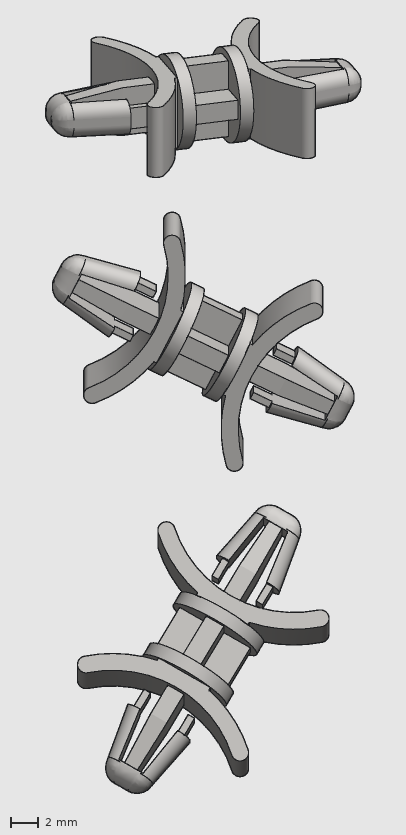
import cadquery as cq
import math


overall_length = 23.85
half_length = overall_length / 2

core_width = 5.99
core_web = 1.5
flange_dia = 7.1
flange_inner_y = 1.7
flange_outer_y = 2.72

joint_overlap = 0.25

wing_half_span = 7.15
wing_height = 5.53
wing_inner_radius = 9.15
wing_outer_radius = 10.42
wing_bottom_y = 3.95
foot_width = 4.4

head_height = 2.67
barb_y = 6.45
barb_half_width = 2.65
nose_base_y = 10.83
nose_base_half_width = 1.84
arm_edge_radius = 1.0
nose_radius = head_height / 2
nose_steps = 7
nose_last_angle = math.radians(89.0)
slot_top_y = 10.47
slot_top_half_width = 1.03
slot_bottom_half_width = 1.6

tab_inner_x = slot_bottom_half_width
tab_outer_x = 2.15
tab_end_y = 4.91
tab_height = 1.65

post_width = 1.38
post_height = 3.77
post_tip_width = 1.1
post_tip_height = 2.53


def box_between(width, y_start, y_end, height):
    """Box centred on X and Z, spanning the given Y range."""
    return cq.Workplane("XY").box(width, y_end - y_start, height).translate((0, (y_start + y_end) / 2, 0))


def plan_prism(outline, height):
    """Prism of a closed XY outline, centred on Z."""
    return cq.Workplane("XY").polyline(outline).close().extrude(height / 2, both=True)


def make_core():
    """Cross of two flat bars running through to the flanges' inner faces."""
    length = 2 * flange_inner_y
    horizontal = cq.Workplane("XY").box(core_width, length, core_web)
    vertical = cq.Workplane("XY").box(core_web, length, core_width)
    return horizontal.union(vertical)


def make_flange():
    """Round flange at the end of the core."""
    thickness = flange_outer_y - flange_inner_y
    disc = cq.Workplane("XZ").circle(flange_dia / 2).extrude(-thickness)
    return disc.translate((0, flange_inner_y, 0))


def make_wing():
    """Arc-shaped wing with round tips, and its foot on the flange."""
    centre_y = wing_bottom_y + wing_inner_radius
    tip_radius = (wing_outer_radius - wing_inner_radius) / 2
    middle_radius = wing_inner_radius + tip_radius
    tip_angle = math.asin((wing_half_span - tip_radius) / middle_radius)

    def arc_point(radius, angle, past_end=0.0):
        """Point at an angle from the wing's middle, moved along the tangent by past_end."""
        x = radius * math.sin(angle) + past_end * math.cos(angle)
        y = centre_y - radius * math.cos(angle) + past_end * math.sin(angle)
        return (x, y)

    wing = (
        cq.Workplane("XY")
        .moveTo(*arc_point(wing_inner_radius, -tip_angle))
        .threePointArc(arc_point(wing_inner_radius, 0), arc_point(wing_inner_radius, tip_angle))
        .threePointArc(
            arc_point(middle_radius, tip_angle, tip_radius), arc_point(wing_outer_radius, tip_angle)
        )
        .threePointArc(arc_point(wing_outer_radius, 0), arc_point(wing_outer_radius, -tip_angle))
        .threePointArc(
            arc_point(middle_radius, -tip_angle, -tip_radius), arc_point(wing_inner_radius, -tip_angle)
        )
        .close()
        .extrude(wing_height / 2, both=True)
    )
    foot = box_between(foot_width, flange_outer_y, wing_bottom_y - joint_overlap, wing_height)
    return wing.union(foot)


def side_half_width(y):
    """Half width of the head at y: a straight flank, then an arc tangent to it and to the tip."""
    flank_slope = (barb_half_width - nose_base_half_width) / (nose_base_y - barb_y)
    flank_angle = math.atan(flank_slope)
    arc_centre_y = half_length - nose_radius
    arc_start_y = arc_centre_y + nose_radius * math.sin(flank_angle)
    straight_half_width = barb_half_width - flank_slope * (y - barb_y)
    if y <= arc_start_y:
        return straight_half_width
    arc_start_half_width = barb_half_width - flank_slope * (arc_start_y - barb_y)
    arc_centre_x = arc_start_half_width - nose_radius * math.cos(flank_angle)
    return arc_centre_x + math.sqrt(nose_radius**2 - (y - arc_centre_y) ** 2)


def head_outline(y, half_height):
    """Rounded rectangle of the head at y; its corner radius shrinks in step with its height."""
    corner_radius = arm_edge_radius * half_height / nose_radius
    return cq.Sketch().rect(2 * side_half_width(y), 2 * half_height).vertices().fillet(corner_radius)


def make_head():
    """Tapered head with a rounded nose, split into two arms by the slots."""
    nose_start_y = half_length - nose_radius
    nose_start_half_width = side_half_width(nose_start_y)
    arms = plan_prism(
        [
            (-barb_half_width, barb_y),
            (barb_half_width, barb_y),
            (nose_start_half_width, nose_start_y),
            (-nose_start_half_width, nose_start_y),
        ],
        head_height,
    )
    arms = arms.edges("not(|X or |Z)").fillet(arm_edge_radius)
    sections = []
    for step in range(nose_steps + 1):
        angle = nose_last_angle * step / nose_steps
        y = nose_start_y + nose_radius * math.sin(angle)
        depth = cq.Location(cq.Vector(0, 0, nose_start_y - y))
        sections.append(head_outline(y, nose_radius * math.cos(angle)).moved(depth))
    nose = cq.Workplane("XZ", origin=(0, nose_start_y, 0)).placeSketch(*sections).loft()
    head = arms.union(nose)
    for side in (-1, 1):
        slot = plan_prism(
            [
                (0, barb_y),
                (side * slot_bottom_half_width, barb_y),
                (side * slot_top_half_width, slot_top_y),
                (0, slot_top_y),
            ],
            head_height,
        )
        head = head.cut(slot)
    return head


def make_tab(side):
    """Flat tab below one arm."""
    width = tab_outer_x - tab_inner_x
    tab = box_between(width, tab_end_y, barb_y + joint_overlap, tab_height)
    return tab.translate((side * (tab_inner_x + tab_outer_x) / 2, 0, 0))


def make_post():
    """Post rising straight from the wing, then tapering up to the nose."""
    straight = box_between(post_width, wing_bottom_y - joint_overlap, barb_y, post_height)
    taper = (
        cq.Workplane("XZ", origin=(0, barb_y, 0))
        .rect(post_width, post_height)
        .workplane(offset=barb_y - slot_top_y)
        .rect(post_tip_width, post_tip_height)
        .loft(ruled=True)
    )
    return straight.union(taper)


def make_end():
    """Everything on the +Y side of the core."""
    end = make_flange().union(make_wing()).union(make_post()).union(make_head())
    for side in (-1, 1):
        end = end.union(make_tab(side))
    return end


end = make_end()
result = make_core().union(end).union(end.mirror("XZ"))